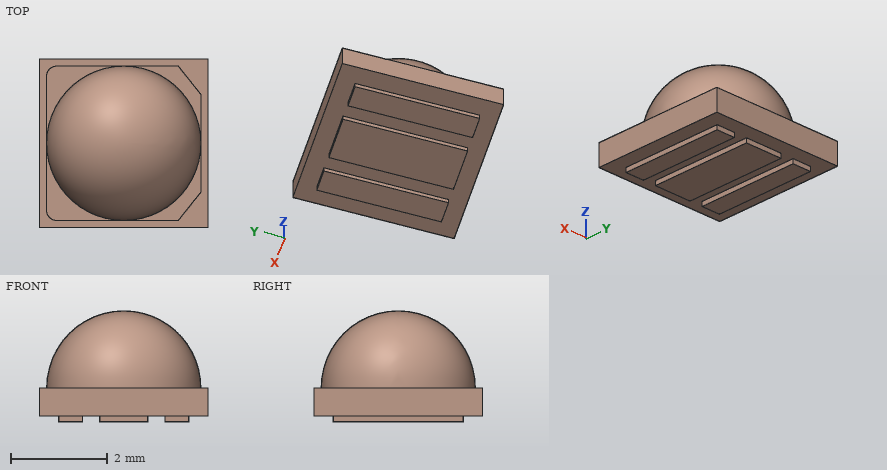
import cadquery as cq

housing_side = 3.5
housing_height = 0.58

dome_radius = 1.6
plate_depth = 0.12
plate_corner_radius = 0.21
plate_cut_x = 1.13
plate_cut_y = 1.01

pad_thickness = 0.12
pad_length = 2.702
centre_pad_width = 1.0
side_pad_width = 0.5
side_pad_x = (pad_length - side_pad_width) / 2

plate_bottom = housing_height - plate_depth


def make_plate():
    """Square plate with two rounded corners at -X and two cut corners at +X."""
    half = dome_radius
    return (
        cq.Workplane("XY", origin=(0, 0, plate_bottom))
        .polyline([
            (-half, -half),
            (plate_cut_x, -half),
            (half, -plate_cut_y),
            (half, plate_cut_y),
            (plate_cut_x, half),
            (-half, half),
        ])
        .close()
        .extrude(plate_depth)
        .edges("|Z and <X")
        .fillet(plate_corner_radius)
    )


def make_lens():
    """Dome and plate as one solid."""
    dome = (
        cq.Workplane("XZ", origin=(0, 0, housing_height))
        .moveTo(0, 0)
        .lineTo(dome_radius, 0)
        .radiusArc((0, dome_radius), -dome_radius)
        .close()
        .revolve(360, (0, 0), (0, 1))
    )
    return make_plate().union(dome)


def make_housing():
    """Square block with a recess that holds the lens plate."""
    block = cq.Workplane("XY").rect(housing_side, housing_side).extrude(housing_height)
    return block.cut(make_plate())


def make_pad(x, width):
    """Rectangular pad hanging from the bottom face of the housing."""
    return cq.Workplane("XY").center(x, 0).rect(width, pad_length).extrude(-pad_thickness)


housing = make_housing()
lens = make_lens()
centre_pad = make_pad(0, centre_pad_width)
side_pads = [make_pad(x, side_pad_width) for x in (-side_pad_x, side_pad_x)]

result = cq.Compound.makeCompound([
    housing.val(),
    lens.val(),
    centre_pad.val(),
    *[pad.val() for pad in side_pads],
])